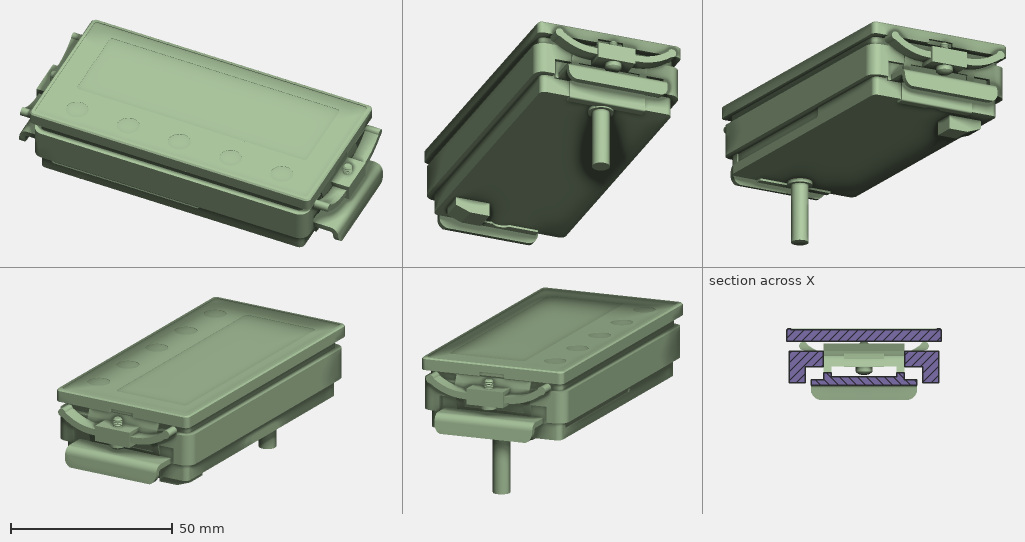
import cadquery as cq
import math

HALF_SPAN = 55.0

BEZEL_TOP = 22.9
BEZEL_BOTTOM = 18.9
BEZEL_SIZE = (95.9, 48.0)
BEZEL_CORNER = 1.6
BEZEL_CHAMFER = 0.4
PANEL_INSET = 1.3
PANEL_DEPTH = 0.2
PANEL_CORNER = 1.1
NECK_SIZE = (89.8, 44.7)
NECK_CORNER = 1.6
BODY_TOP = 16.0
BODY_BOTTOM = 5.9
BODY_SIZE = (93.7, 48.4)
BODY_CORNER = 3.4
BOX_SIZE = (89.8, 44.0)
BOX_CORNER = 1.8
BEZEL_NOTCH_WIDTH = 8.5
BEZEL_NOTCH_HEIGHT = 1.3
BEZEL_NOTCH_DEPTH = 1.1

ENGRAVING = 0.1
DISPLAY_SIZE = (78.5, 25.4)
DISPLAY_Y = 5.4
DISPLAY_CORNER = 1.0
KEY_COUNT = 5
KEY_PITCH = 17.5
KEY_Y = -16.0
KEY_RADIUS = 3.5

SIDE_RECESS_X = (-41.0, 9.7)
SIDE_RECESS_BOTTOM = 3.0
SIDE_RECESS_CORNER = 1.1
SIDE_RECESS_DEPTH = 0.5

PLUG_X = (31.6, 38.9)
PLUG_Y = (8.4, 19.5)
PLUG_HEIGHT = 4.4
PLUG_HIGH_SIDE = 2.6
PLUG_FLAT_END = 14.7

CABLE_X = -40.0
CABLE_RADIUS = 2.8
CABLE_LENGTH = 19.8
COLLAR_RADIUS = 4.0
COLLAR_HEIGHT = 1.1

STRAP_WIDTH = 25.1
SHEET = 0.7
STRAP_X = BOX_SIZE[0] / 2 + SHEET
LIP_END_X = 42.8
CREST_X = 47.7
CREST_Z = 14.3
SHOULDER_X = 47.3
SHOULDER_Z = 16.0
STRAP_TOP_X = 46.3
STRAP_TOP_Z = 18.3
WINDOW_WIDTH = 20.2
WINDOW_Z = (8.0, 11.1)
STRAP_BEND = 0.5
ROOT_WIDTH = 35.0
ROOT_TOP = 11.0
ROOT_CLEARANCE = 0.7

LEVER_WIDTH = 33.0
LEVER_TOP = 7.0
LEVER_THICKNESS = 1.8
LEVER_INNER_BEND = 0.9
LEVER_TILT = math.radians(8)
LEVER_LEG = 3.8
LEVER_CORNER = 3.3

BOW_X = (48.0, 52.6)
BOW_LOW_Z = 13.3
BOW_FLAT_END = 7.0
BOW_RADIUS = 18.7
BOW_THICKNESS = 2.1
BOW_TIP_Y = 18.8
BOW_TIP_RADIUS = 1.3
BLOCK_X = (BODY_SIZE[0] / 2, 53.5)
BLOCK_WIDTH = 12.3
BLOCK_Z = (10.9, BODY_TOP)
SCREW_X = 50.2
SCREW_RADIUS = 1.4
SCREW_TOP = 18.7
THREAD_PITCH = 0.5
THREAD_DEPTH = 0.2
SCREW_POINT = 0.4
HEAD_RADIUS = 2.6
HEAD_HEIGHT = 2.3
HEAD_RIM = 1.3


def box_between(x_range, y_range, z_range):
    """Box that fills the given ranges along X, Y and Z."""
    size = [high - low for low, high in (x_range, y_range, z_range)]
    corner = (x_range[0], y_range[0], z_range[0])
    return cq.Workplane("XY").box(*size, centered=False).translate(corner)


def central_box(x_range, width, z_range):
    """Box centred on the XZ plane."""
    return box_between(x_range, (-width / 2, width / 2), z_range)


def rounded_block(size, corner, bottom, top):
    """Upright block centred on Z with rounded vertical edges."""
    block = cq.Workplane("XY", origin=(0, 0, bottom)).rect(*size).extrude(top - bottom)
    return block.edges("|Z").fillet(corner)


def both_ends(shape):
    """The +X shape together with its mirror image at -X."""
    return shape.union(shape.mirror("YZ"))


def side_recess():
    outer_y = -BOX_SIZE[1] / 2
    pocket = box_between(
        SIDE_RECESS_X, (outer_y, outer_y + SIDE_RECESS_DEPTH), (SIDE_RECESS_BOTTOM, BODY_BOTTOM)
    )
    return pocket.edges("|Y and <Z").fillet(SIDE_RECESS_CORNER)


def front_panel_cuts():
    """Sunken panel, display window and row of keys."""
    panel_z = BEZEL_TOP - PANEL_DEPTH
    engraved_z = panel_z - ENGRAVING
    panel_size = [side - 2 * PANEL_INSET for side in BEZEL_SIZE]
    cuts = rounded_block(panel_size, PANEL_CORNER, panel_z, BEZEL_TOP)
    display = rounded_block(DISPLAY_SIZE, DISPLAY_CORNER, engraved_z, panel_z)
    cuts = cuts.union(display.translate((0, DISPLAY_Y, 0)))
    keys = (
        cq.Workplane("XY", origin=(0, KEY_Y, engraved_z))
        .rarray(KEY_PITCH, 1.1, KEY_COUNT, 1)
        .circle(KEY_RADIUS)
        .extrude(ENGRAVING)
    )
    return cuts.union(keys)


def bracket_recess():
    """Room for the strap and for the upright sheet behind the lever, at the +X end."""
    x_range = (BOX_SIZE[0] / 2, BODY_SIZE[0] / 2)
    strap_room = central_box(x_range, STRAP_WIDTH, (BODY_BOTTOM, BODY_TOP))
    root_room = central_box(x_range, ROOT_WIDTH + 2 * ROOT_CLEARANCE, (BODY_BOTTOM, ROOT_TOP))
    return strap_room.union(root_room)


def bezel_notch():
    outer_x = BEZEL_SIZE[0] / 2
    return central_box(
        (outer_x - BEZEL_NOTCH_DEPTH, outer_x),
        BEZEL_NOTCH_WIDTH,
        (BEZEL_BOTTOM, BEZEL_BOTTOM + BEZEL_NOTCH_HEIGHT),
    )


def connector():
    profile = [
        (PLUG_Y[0], 0),
        (PLUG_Y[0], -PLUG_HEIGHT),
        (PLUG_FLAT_END, -PLUG_HEIGHT),
        (PLUG_Y[1], -PLUG_HIGH_SIDE),
        (PLUG_Y[1], 0),
    ]
    plane = cq.Workplane("YZ", origin=(PLUG_X[0], 0, 0))
    return plane.polyline(profile).close().extrude(PLUG_X[1] - PLUG_X[0])


def make_housing():
    bezel = rounded_block(BEZEL_SIZE, BEZEL_CORNER, BEZEL_BOTTOM, BEZEL_TOP)
    bezel = bezel.faces(">Z").chamfer(BEZEL_CHAMFER)
    body = rounded_block(BODY_SIZE, BODY_CORNER, BODY_BOTTOM, BODY_TOP)
    body = body.cut(both_ends(bracket_recess()))
    housing = rounded_block(BOX_SIZE, BOX_CORNER, 0, BODY_BOTTOM)
    housing = housing.union(body)
    housing = housing.union(rounded_block(NECK_SIZE, NECK_CORNER, BODY_TOP, BEZEL_BOTTOM))
    housing = housing.union(bezel)
    housing = housing.union(connector())
    housing = housing.cut(front_panel_cuts())
    housing = housing.cut(side_recess())
    return housing.cut(both_ends(bezel_notch()))


def make_cable():
    """Cable with its collar, seated on the underside of the case."""
    plane = cq.Workplane("XY", origin=(CABLE_X, 0, 0))
    collar = plane.circle(COLLAR_RADIUS).extrude(-COLLAR_HEIGHT)
    return collar.union(plane.circle(CABLE_RADIUS).extrude(-CABLE_LENGTH))


def strap():
    """Bent strip: lip under the case, upright part, sprung part and window."""
    inner_x = STRAP_X - SHEET
    profile = [
        (LIP_END_X, 0),
        (inner_x, 0),
        (inner_x, BODY_BOTTOM),
        (CREST_X - SHEET, CREST_Z),
        (SHOULDER_X - SHEET, SHOULDER_Z),
        (STRAP_TOP_X - SHEET, STRAP_TOP_Z),
        (STRAP_TOP_X, STRAP_TOP_Z),
        (SHOULDER_X, SHOULDER_Z),
        (CREST_X, CREST_Z),
        (STRAP_X, BODY_BOTTOM),
        (STRAP_X, -SHEET),
        (LIP_END_X, -SHEET),
    ]
    strip = cq.Workplane("XZ").polyline(profile).close().extrude(STRAP_WIDTH / 2, both=True)
    outer_fold = cq.selectors.NearestToPointSelector((STRAP_X, 0, -SHEET))
    strip = strip.edges(outer_fold).fillet(STRAP_BEND)
    strip = strip.cut(central_box((inner_x, CREST_X), WINDOW_WIDTH, WINDOW_Z))
    collar_notch = (
        cq.Workplane("XY", origin=(-CABLE_X, 0, -SHEET)).circle(COLLAR_RADIUS).extrude(SHEET)
    )
    strip = strip.cut(collar_notch)
    root = central_box((inner_x, STRAP_X), ROOT_WIDTH, (LEVER_TOP - LEVER_THICKNESS, ROOT_TOP))
    return strip.union(root)


def lever():
    """Flat tab whose outer end turns down, with rounded lower corners."""
    outer_bend = LEVER_INNER_BEND + LEVER_THICKNESS
    lean = (math.sin(LEVER_TILT), -math.cos(LEVER_TILT))
    outward = (math.cos(LEVER_TILT), math.sin(LEVER_TILT))
    bend_x = HALF_SPAN - outer_bend * outward[0] - LEVER_LEG * lean[0]
    bend_z = LEVER_TOP - outer_bend
    middle = (math.pi / 2 + LEVER_TILT) / 2

    def on_bend(radius, along=0):
        return (
            bend_x + radius * outward[0] + along * lean[0],
            bend_z + radius * outward[1] + along * lean[1],
        )

    def bend_middle(radius):
        return (bend_x + radius * math.cos(middle), bend_z + radius * math.sin(middle))

    underside = LEVER_TOP - LEVER_THICKNESS
    root_x = STRAP_X - SHEET
    sheet = (
        cq.Workplane("XZ")
        .moveTo(root_x, underside)
        .lineTo(root_x, LEVER_TOP)
        .lineTo(bend_x, LEVER_TOP)
        .threePointArc(bend_middle(outer_bend), on_bend(outer_bend))
        .lineTo(*on_bend(outer_bend, LEVER_LEG))
        .lineTo(*on_bend(LEVER_INNER_BEND, LEVER_LEG))
        .lineTo(*on_bend(LEVER_INNER_BEND))
        .threePointArc(bend_middle(LEVER_INNER_BEND), (bend_x, underside))
        .close()
        .extrude(LEVER_WIDTH / 2, both=True)
    )
    tip_z = on_bend(LEVER_INNER_BEND, LEVER_LEG)[1]
    outline = central_box((root_x, HALF_SPAN), LEVER_WIDTH, (tip_z, LEVER_TOP))
    outline = outline.edges("|X and <Z").fillet(LEVER_CORNER)
    return sheet.intersect(outline)


def bow():
    """Bar with a flat middle and two arms curving up toward the bezel, with round tips."""
    centre_z = BOW_LOW_Z + BOW_RADIUS
    arm_angle = math.asin((BOW_TIP_Y - BOW_FLAT_END) / BOW_RADIUS)
    inner = BOW_RADIUS - BOW_THICKNESS / 2
    outer = BOW_RADIUS + BOW_THICKNESS / 2
    width = BOW_X[1] - BOW_X[0]
    plane = cq.Workplane("YZ", origin=(BOW_X[0], 0, 0))

    def on_arm(side, radius, angle):
        y = BOW_FLAT_END + radius * math.sin(angle)
        return (side * y, centre_z - radius * math.cos(angle))

    bar = (
        plane.moveTo(*on_arm(-1, inner, arm_angle))
        .threePointArc(on_arm(-1, inner, arm_angle / 2), on_arm(-1, inner, 0))
        .lineTo(*on_arm(1, inner, 0))
        .threePointArc(on_arm(1, inner, arm_angle / 2), on_arm(1, inner, arm_angle))
        .lineTo(*on_arm(1, outer, arm_angle))
        .threePointArc(on_arm(1, outer, arm_angle / 2), on_arm(1, outer, 0))
        .lineTo(*on_arm(-1, outer, 0))
        .threePointArc(on_arm(-1, outer, arm_angle / 2), on_arm(-1, outer, arm_angle))
        .close()
        .extrude(width)
    )
    tips = [on_arm(side, BOW_RADIUS, arm_angle) for side in (-1, 1)]
    return bar.union(plane.pushPoints(tips).circle(BOW_TIP_RADIUS).extrude(width))


def screw():
    """Clamp screw: domed head under the block, grooved thread above it."""
    head_top = BLOCK_Z[0]
    rim_z = head_top - HEAD_RIM
    head_bottom = head_top - HEAD_HEIGHT
    dome_rise = HEAD_HEIGHT - HEAD_RIM
    dome_middle = (HEAD_RADIUS * math.sqrt(0.5), rim_z - dome_rise * math.sqrt(0.5))
    root_radius = SCREW_RADIUS - THREAD_DEPTH
    profile = (
        cq.Workplane("XZ")
        .moveTo(0, head_bottom)
        .threePointArc(dome_middle, (HEAD_RADIUS, rim_z))
        .lineTo(HEAD_RADIUS, head_top)
        .lineTo(SCREW_RADIUS, head_top)
    )
    thread_start = BLOCK_Z[1]
    turns = int((SCREW_TOP - SCREW_POINT - thread_start) / THREAD_PITCH)
    for turn in range(turns):
        crest_z = thread_start + turn * THREAD_PITCH
        profile = profile.lineTo(SCREW_RADIUS, crest_z).lineTo(root_radius, crest_z + THREAD_PITCH / 2)
    profile = (
        profile.lineTo(SCREW_RADIUS, thread_start + turns * THREAD_PITCH)
        .lineTo(SCREW_RADIUS, SCREW_TOP - SCREW_POINT)
        .lineTo(SCREW_RADIUS - SCREW_POINT, SCREW_TOP)
        .lineTo(0, SCREW_TOP)
        .close()
    )
    return profile.revolve(360, (0, 0, 0), (0, 1, 0)).translate((SCREW_X, 0, 0))


def make_bracket(side):
    """One mounting bracket; side is +1 for the +X end, -1 for the -X end."""
    block = central_box(BLOCK_X, BLOCK_WIDTH, BLOCK_Z)
    bracket = strap().union(lever()).union(block).union(bow()).union(screw())
    return bracket if side > 0 else bracket.mirror("YZ")


housing = make_housing()
cable = make_cable()
brackets = [make_bracket(side) for side in (-1, 1)]
result = cq.Compound.makeCompound([housing.val(), cable.val(), *[bracket.val() for bracket in brackets]])